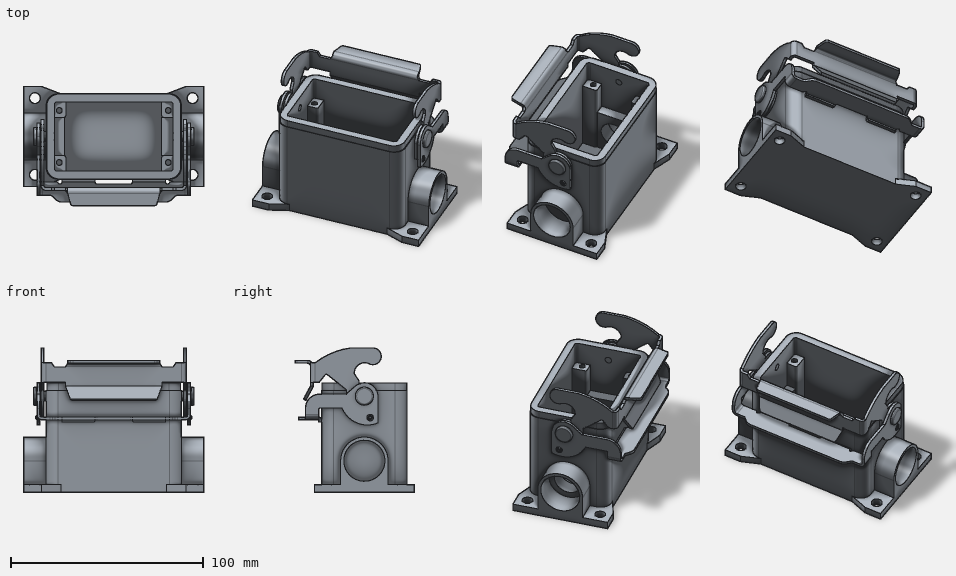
import cadquery as cq
import math

overall_length = 93.5
overall_depth = 61.98
foot_depth = 52.0
foot_thickness = 4.0
foot_hole_diameter = 5.5
foot_hole_x = 40.9
foot_hole_y = 19.9
foot_full_depth_x = 37.5
foot_taper_end_x = 27.5

body_length = 70.2
body_depth = 44.4
body_corner_radius = 6.2
rim_length = 69.5
rim_depth = 44.0
rim_start_z = 52.95
body_top_z = 56.8

cavity_length = 61.6
cavity_depth = 36.0
cavity_corner_radius = 1.5
floor_thickness = foot_thickness

post_inner_x = 24.9
post_inner_y = 9.9
post_edge_radius = 1.0
post_top_z = 44.6
post_hole_diameter = 3.0
post_hole_depth = 10.0
post_hole_x = 28.3
post_hole_y = 13.5
entry_ledge_x = 25.5

boss_radius = 12.3
boss_axis_z = 16.4
entry_bore_diameter = 21.3
entry_bore_depth = 13.0
entry_hole_diameter = 15.2

pivot_z = 49.9
pivot_nose_diameter = 3.5
pivot_shaft_diameter = 5.2
pivot_head_diameter = 9.4
pivot_head_inner_x = 40.2
pivot_head_outer_x = 41.7
pivot_head_edge = 0.7

sheet = 1.5
hook_bend_radius = 2.5
arm_bend_radius = 2.9
hook_outer_x = 37.7
arm_outer_x = 39.8
stop_pin_y = 3.0
stop_pin_z = 38.8
stop_pin_diameter = 2.0
stop_pin_outer_x = 40.6
stop_pin_chamfer = 0.4
stop_pin_clearance_diameter = 3.4

lever_top_z = 75.0
hook_tip_radius = 4.4
hook_tip_y = 4.4
crossbar_front_y = -28.0
crossbar_bottom_z = 57.1
crossbar_end_top_z = 67.3
crossbar_mid_top_z = 65.1
crossbar_notch_outer_x = 32.3
crossbar_notch_inner_x = 30.8
neck_half_width = 25.1
flange_root_half_width = 23.9
flange_tip_half_width = 22.2
flange_top_z = 68.5
flange_tip_y = foot_depth / 2 - overall_depth
flange_bend_radius = 3.1
flap_bend_z = 55.2
flap_length = 7.7
flap_angle = math.radians(28)
flap_tip_half_width = 22.3
tip_corner_radius = 1.5

handle_bottom_z = 37.55
handle_front_y = -34.1
handle_end_front_y = -30.6
handle_back_y = -23.6
handle_bulge_start_x = 33.0
handle_bulge_flat_x = 26.5
handle_window_half_width = 9.6
handle_window_y = -24.6
handle_window_radius = 0.8
tab_inner_x = handle_window_half_width
tab_outer_x = 26.9
tab_chamfer = 0.8
tab_back_y = -body_depth / 2
tab_bottom_z = 36.4
relief_width = 2.1


def centred_block(length, depth, bottom_z, top_z):
    """A block centred on X and Y between two heights."""
    return cq.Workplane("XY").workplane(offset=bottom_z).rect(length, depth).extrude(top_z - bottom_z)


def x_cylinder(diameter, y, z, x_start, x_end):
    """A cylinder along X."""
    return cq.Workplane("YZ", origin=(x_start, y, z)).circle(diameter / 2).extrude(x_end - x_start)


def both_sides(right_half):
    """A shape on the +X side together with its mirror image on the -X side."""
    return right_half.union(right_half.mirror("YZ"))


def foot_plate():
    end_x = overall_length / 2
    half_depth = foot_depth / 2
    wall_y = body_depth / 2
    right_half = (
        cq.Workplane("XY")
        .moveTo(0, -wall_y)
        .lineTo(foot_taper_end_x, -wall_y)
        .lineTo(foot_full_depth_x, -half_depth)
        .lineTo(end_x, -half_depth)
        .lineTo(end_x, half_depth)
        .lineTo(foot_full_depth_x, half_depth)
        .lineTo(foot_taper_end_x, wall_y)
        .lineTo(0, wall_y)
        .close()
        .extrude(foot_thickness)
    )
    holes = (
        cq.Workplane("XY")
        .rect(2 * foot_hole_x, 2 * foot_hole_y, forConstruction=True)
        .vertices()
        .circle(foot_hole_diameter / 2)
        .extrude(foot_thickness)
    )
    return both_sides(right_half).cut(holes)


def entry_bosses():
    """One arched bar through the whole length carries both cable entries."""
    return (
        cq.Workplane("YZ", origin=(-overall_length / 2, 0, 0))
        .moveTo(-boss_radius, 0)
        .lineTo(boss_radius, 0)
        .lineTo(boss_radius, boss_axis_z)
        .threePointArc((0, boss_axis_z + boss_radius), (-boss_radius, boss_axis_z))
        .close()
        .extrude(overall_length)
    )


def cavity():
    space = centred_block(cavity_length, cavity_depth, floor_thickness, body_top_z)
    space = space.edges("|Z").fillet(cavity_corner_radius)
    post_length = cavity_length / 2 - post_inner_x
    post_width = cavity_depth / 2 - post_inner_y
    post = (
        cq.Workplane("XY", origin=(post_inner_x, post_inner_y, floor_thickness))
        .rect(post_length, post_width, centered=False)
        .extrude(post_top_z - floor_thickness)
        .edges("|Z and <X and <Y")
        .fillet(post_edge_radius)
    )
    back_posts = both_sides(post)
    space = space.cut(back_posts).cut(back_posts.mirror("XZ"))
    ledge_height = boss_axis_z + boss_radius - floor_thickness
    ledge_width = 2 * post_inner_y
    open_ledge = (
        cq.Workplane("XY", origin=(-cavity_length / 2, -post_inner_y, floor_thickness))
        .rect(cavity_length / 2 - entry_ledge_x, ledge_width, centered=False)
        .extrude(ledge_height)
    )
    closed_ledge = (
        cq.Workplane("XY", origin=(post_inner_x, -post_inner_y, floor_thickness))
        .rect(post_length, ledge_width, centered=False)
        .extrude(ledge_height)
    )
    return space.cut(open_ledge).cut(closed_ledge)


def make_housing():
    body = centred_block(body_length, body_depth, 0, rim_start_z)
    body = body.edges("|Z").fillet(body_corner_radius)
    rim = centred_block(rim_length, rim_depth, rim_start_z, body_top_z)
    rim = rim.edges("|Z").fillet(body_corner_radius)
    housing = body.union(rim).union(foot_plate()).union(entry_bosses()).cut(cavity())
    end_x = overall_length / 2
    bore = x_cylinder(entry_bore_diameter, 0, boss_axis_z, end_x - entry_bore_depth, end_x)
    entry_hole = x_cylinder(entry_hole_diameter, 0, boss_axis_z, -end_x, -entry_ledge_x)
    post_holes = (
        cq.Workplane("XY")
        .workplane(offset=post_top_z - post_hole_depth)
        .rect(2 * post_hole_x, 2 * post_hole_y, forConstruction=True)
        .vertices()
        .circle(post_hole_diameter / 2)
        .extrude(post_hole_depth)
    )
    pivot_hole = x_cylinder(pivot_nose_diameter, 0, pivot_z, cavity_length / 2, body_length / 2)
    return housing.cut(both_sides(bore)).cut(entry_hole).cut(post_holes).cut(both_sides(pivot_hole))


def hook_plate():
    """The inner side plate: hook at the top, pivot lobe at the bottom."""
    bend_y = crossbar_front_y + hook_bend_radius
    tip_z = lever_top_z - hook_tip_radius
    throat_start = (3.2, 66.3)
    throat_middle = (-2.3, 66.6)
    throat_end = (-5.2, 61.6)
    shank_back_y = -2.75
    shank_back_top_z = 57.9
    shank_front_y = -9.3
    shank_front_top_z = 53.2
    lobe_back_y = 6.3
    lobe_top_z = pivot_z + 6.0
    lobe_shoulder = (2.5, pivot_z + 5.8)
    lobe_back_bottom = (lobe_back_y, 40.0)
    lobe_low_middle = (-3.0, 38.5)
    lobe_front_z = 48.0
    gap_back = (-19.0, 60.9)
    gap_peak = (-19.75, 61.2)
    gap_front = (-20.4, 60.9)
    gap_end_y = -23.4
    brow_middle = (-17.2, 72.2)
    brow_start_y = -7.0
    return (
        cq.Workplane("YZ", origin=(hook_outer_x - sheet, 0, 0))
        .moveTo(hook_tip_y, lever_top_z)
        .threePointArc((hook_tip_y + hook_tip_radius, tip_z), (hook_tip_y, tip_z - hook_tip_radius))
        .lineTo(*throat_start)
        .threePointArc(throat_middle, throat_end)
        .lineTo(shank_back_y, shank_back_top_z)
        .lineTo(shank_back_y, lobe_top_z)
        .threePointArc(lobe_shoulder, (lobe_back_y, pivot_z))
        .lineTo(*lobe_back_bottom)
        .threePointArc(lobe_low_middle, (shank_front_y, lobe_front_z))
        .lineTo(shank_front_y, shank_front_top_z)
        .lineTo(*gap_back)
        .threePointArc(gap_peak, gap_front)
        .lineTo(gap_end_y, crossbar_bottom_z)
        .lineTo(bend_y, crossbar_bottom_z)
        .lineTo(bend_y, crossbar_end_top_z)
        .threePointArc(brow_middle, (brow_start_y, lever_top_z))
        .close()
        .extrude(sheet)
    )


def crossbar():
    """The bar across the front, bent round into both hook plates."""
    bend_y = crossbar_front_y + hook_bend_radius
    height = crossbar_end_top_z - crossbar_bottom_z
    strip = (
        cq.Workplane("XY", origin=(0, 0, crossbar_bottom_z))
        .moveTo(0, crossbar_front_y)
        .lineTo(hook_outer_x - hook_bend_radius, crossbar_front_y)
        .radiusArc((hook_outer_x, bend_y), -hook_bend_radius)
        .lineTo(hook_outer_x - sheet, bend_y)
        .radiusArc((hook_outer_x - hook_bend_radius, crossbar_front_y + sheet), hook_bend_radius - sheet)
        .lineTo(0, crossbar_front_y + sheet)
        .close()
        .extrude(height)
    )
    dip = (
        cq.Workplane("XZ", origin=(0, bend_y, 0))
        .moveTo(0, crossbar_mid_top_z)
        .lineTo(crossbar_notch_inner_x, crossbar_mid_top_z)
        .lineTo(crossbar_notch_outer_x, crossbar_end_top_z)
        .lineTo(0, crossbar_end_top_z)
        .close()
        .extrude(2 * hook_bend_radius)
    )
    return both_sides(strip.cut(dip))


def thumb_flange_and_flap():
    """One strip in the middle: flap bent out below the crossbar, thumb flange bent out above it."""
    back_y = crossbar_front_y + sheet
    flange_bend_y = back_y - flange_bend_radius
    flange_bend_z = flange_top_z - flange_bend_radius
    flap_tip_y = crossbar_front_y - flap_length * math.sin(flap_angle)
    flap_tip_z = flap_bend_z - flap_length * math.cos(flap_angle)
    flap_end_z = flap_tip_z - sheet * math.sin(flap_angle)
    strip = (
        cq.Workplane("YZ", origin=(-neck_half_width, 0, 0))
        .moveTo(crossbar_front_y, flap_bend_z)
        .lineTo(flap_tip_y, flap_tip_z)
        .lineTo(flap_tip_y + sheet * math.cos(flap_angle), flap_end_z)
        .lineTo(back_y, flap_bend_z - sheet * math.tan(flap_angle / 2))
        .lineTo(back_y, flange_bend_z)
        .radiusArc((flange_bend_y, flange_top_z), -flange_bend_radius)
        .lineTo(flange_tip_y, flange_top_z)
        .lineTo(flange_tip_y, flange_top_z - sheet)
        .lineTo(flange_bend_y, flange_top_z - sheet)
        .radiusArc((crossbar_front_y, flange_bend_z), flange_bend_radius - sheet)
        .close()
        .extrude(2 * neck_half_width)
    )
    depth = back_y - flange_tip_y
    front_outline = (
        cq.Workplane("XZ", origin=(0, back_y, 0))
        .polyline([
            (-flap_tip_half_width, flap_end_z),
            (flap_tip_half_width, flap_end_z),
            (neck_half_width, flap_bend_z),
            (neck_half_width, crossbar_mid_top_z),
            (flange_root_half_width, flange_bend_z + sheet),
            (flange_root_half_width, flange_top_z),
            (-flange_root_half_width, flange_top_z),
            (-flange_root_half_width, flange_bend_z + sheet),
            (-neck_half_width, crossbar_mid_top_z),
            (-neck_half_width, flap_bend_z),
        ])
        .close()
        .extrude(depth)
        .edges("|Y and <Z")
        .fillet(tip_corner_radius)
    )
    flange_trim = (
        cq.Workplane("XY", origin=(0, 0, flap_end_z))
        .polyline([
            (-flange_tip_half_width, flange_tip_y),
            (flange_tip_half_width, flange_tip_y),
            (flange_root_half_width, flange_bend_y),
            (neck_half_width, flange_bend_y),
            (neck_half_width, back_y),
            (-neck_half_width, back_y),
            (-neck_half_width, flange_bend_y),
            (-flange_root_half_width, flange_bend_y),
        ])
        .close()
        .extrude(flange_top_z - flap_end_z)
        .edges("|Z and <Y")
        .fillet(tip_corner_radius)
    )
    flap_zone = centred_block(2 * neck_half_width, 2 * foot_depth, flap_end_z, flap_bend_z)
    return strip.intersect(front_outline).intersect(flange_trim.union(flap_zone))


def arm_plate():
    """The outer side plate: pivot lobe with an arm reaching down to the handle plate."""
    lobe_radius = 7.0
    lobe_corner = lobe_radius * math.sqrt(0.5)
    arm_top_z = 51.0
    arm_bottom_z = 43.7
    arm_root_y = -9.5
    arm_lower_root_y = -11.6
    arm_inner_radius = 0.6
    lobe_bottom_z = 36.0
    lobe_bottom_middle = (-4.0, 36.1)
    neck_middle = (-3.0, pivot_z + 6.3)
    neck_end = (-5.3, pivot_z + 4.7)
    elbow_radius = 7.4
    bend_z = handle_bottom_z + arm_bend_radius
    elbow_y = handle_end_front_y + elbow_radius
    elbow_mid_y = elbow_y - elbow_radius * math.sqrt(0.5)
    elbow_mid_z = arm_top_z - elbow_radius * (1 - math.sqrt(0.5))
    plate = (
        cq.Workplane("YZ", origin=(arm_outer_x - sheet, 0, 0))
        .moveTo(lobe_radius, lobe_bottom_z)
        .lineTo(lobe_radius, pivot_z)
        .threePointArc((lobe_corner, pivot_z + lobe_corner), (0, pivot_z + lobe_radius))
        .threePointArc(neck_middle, neck_end)
        .lineTo(arm_root_y, arm_top_z)
        .lineTo(elbow_y, arm_top_z)
        .threePointArc((elbow_mid_y, elbow_mid_z), (handle_end_front_y, arm_top_z - elbow_radius))
        .lineTo(handle_end_front_y, bend_z)
        .lineTo(handle_back_y, bend_z)
        .lineTo(handle_back_y, arm_bottom_z - arm_inner_radius)
        .radiusArc((handle_back_y + arm_inner_radius, arm_bottom_z), arm_inner_radius)
        .lineTo(arm_lower_root_y, arm_bottom_z)
        .threePointArc(lobe_bottom_middle, (lobe_radius, lobe_bottom_z))
        .close()
        .extrude(sheet)
    )
    inner_x = arm_outer_x - sheet
    clearance = x_cylinder(stop_pin_clearance_diameter, stop_pin_y, stop_pin_z, inner_x, arm_outer_x)
    return plate.cut(clearance)


def handle_tab():
    """A tab bent down from the back edge of the handle plate to lie along the housing wall."""
    tab_front_y = tab_back_y - sheet
    top_z = handle_bottom_z + sheet
    profile = (
        cq.Workplane("YZ", origin=(tab_inner_x, 0, 0))
        .moveTo(tab_front_y, tab_bottom_z)
        .lineTo(tab_back_y, tab_bottom_z)
        .lineTo(tab_back_y, handle_bottom_z)
        .radiusArc((tab_front_y, top_z), -sheet)
        .close()
        .extrude(tab_outer_x - tab_inner_x)
    )
    return profile.edges("|Y and <X and <Z").chamfer(tab_chamfer)


def handle_plate():
    """The plate across the bottom, bent up at both ends into the arm plates."""
    bend_z = handle_bottom_z + arm_bend_radius
    depth = handle_back_y - handle_front_y
    bulge_middle = (28.9, -33.6)
    bulge_flank_front = (30.5, -32.4)
    bulge_flank_back = (31.8, -31.1)
    bulge_root_middle = (32.3, -30.75)
    strip = (
        cq.Workplane("XZ", origin=(0, handle_back_y, 0))
        .moveTo(0, handle_bottom_z)
        .lineTo(arm_outer_x - arm_bend_radius, handle_bottom_z)
        .radiusArc((arm_outer_x, bend_z), -arm_bend_radius)
        .lineTo(arm_outer_x - sheet, bend_z)
        .radiusArc((arm_outer_x - arm_bend_radius, handle_bottom_z + sheet), arm_bend_radius - sheet)
        .lineTo(0, handle_bottom_z + sheet)
        .close()
        .extrude(depth)
    )
    outline = (
        cq.Workplane("XY", origin=(0, 0, handle_bottom_z))
        .moveTo(0, handle_front_y)
        .lineTo(handle_bulge_flat_x, handle_front_y)
        .threePointArc(bulge_middle, bulge_flank_front)
        .lineTo(*bulge_flank_back)
        .threePointArc(bulge_root_middle, (handle_bulge_start_x, handle_end_front_y))
        .lineTo(arm_outer_x, handle_end_front_y)
        .lineTo(arm_outer_x, handle_back_y)
        .lineTo(0, handle_back_y)
        .close()
        .extrude(arm_bend_radius)
    )
    relief_x = tab_outer_x + relief_width / 2
    relief = (
        cq.Workplane("XY", origin=(relief_x, handle_back_y, handle_bottom_z))
        .circle(relief_width / 2)
        .extrude(sheet)
    )
    window_depth = 2 * (handle_back_y - handle_window_y)
    window = (
        cq.Workplane("XY", origin=(0, handle_back_y, handle_bottom_z))
        .rect(2 * handle_window_half_width, window_depth)
        .extrude(sheet)
        .edges("|Z")
        .fillet(handle_window_radius)
    )
    right_half = strip.intersect(outline).union(handle_tab()).cut(relief)
    return both_sides(right_half).cut(window)


def pivot_rivet():
    """Nose in the housing wall, shaft through both plates and a rounded head outside."""
    nose = x_cylinder(pivot_nose_diameter, 0, pivot_z, cavity_length / 2, body_length / 2)
    shaft = x_cylinder(pivot_shaft_diameter, 0, pivot_z, body_length / 2, pivot_head_inner_x)
    head = x_cylinder(pivot_head_diameter, 0, pivot_z, pivot_head_inner_x, pivot_head_outer_x)
    head = head.faces(">X").edges().fillet(pivot_head_edge)
    return nose.union(shaft).union(head)


def make_lever():
    stop_pin = x_cylinder(stop_pin_diameter, stop_pin_y, stop_pin_z, hook_outer_x - sheet, stop_pin_outer_x)
    stop_pin = stop_pin.faces(">X").chamfer(stop_pin_chamfer)
    right_side = hook_plate().union(stop_pin).union(arm_plate()).union(pivot_rivet())
    lever = both_sides(right_side).union(crossbar()).union(thumb_flange_and_flap())
    return lever.union(handle_plate())


housing = make_housing()
lever = make_lever()

result = cq.Compound.makeCompound([*housing.vals(), *lever.vals()])